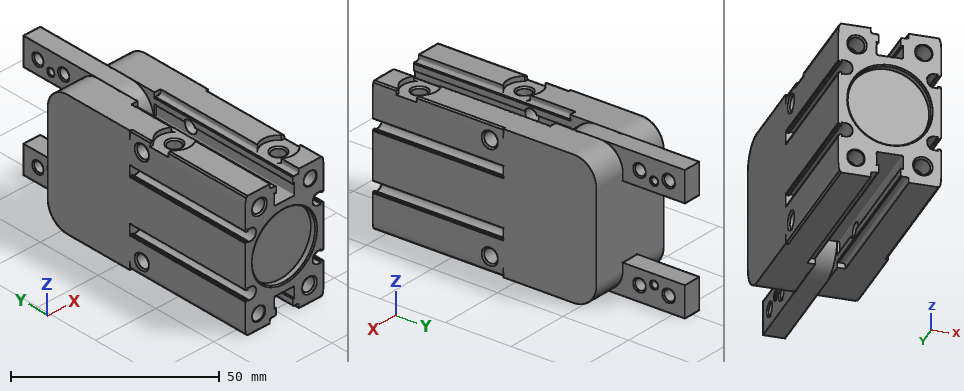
import cadquery as cq
import math


width = 26.0
height = 40.0
overall_length = 87.4
housing_length = 68.4
nose_radius = 6.9

half_width = width / 2
half_height = height / 2

finger_width = 5.6
finger_height = 9.0
finger_rear_y = 48.2
finger_rear_gap = 0.3
finger_rear_radius = 7.9
finger_hole_diameter = 3.2
finger_hole_chamfer = 0.35
finger_hole_offset_z = 15.5
finger_hole_ys = (73.5, 82.4)
finger_pin_diameter = 2.0
finger_pin_chamfer = 0.3
finger_pin_y = sum(finger_hole_ys) / 2
finger_pin_offset_z = 14.0

groove_half_width = 4.8
groove_depth = 1.4
groove_fillet = 0.6
lip_half_width = 2.8
lip_chamfer = 0.3
lip_bottom_depth = 3.5
slot_half_width = 3.3
slot_depth = 7.0
slot_fillet = 0.35
slot_end_y = finger_rear_y - finger_rear_gap

profile_length = 39.9
relief_top_inset = 0.7
relief_chamfer_inset = 0.3
relief_chamfer_drop = 0.4
relief_height = 2.45
side_groove_offset_z = 8.4
side_groove_opening = 2.9
side_groove_chamfer = 0.3
side_groove_lip = 0.9
side_groove_diameter = 3.7
side_groove_depth = 3.6

recess_diameter = 21.0
recess_depth = 1.8
recess_chamfer = 0.35

hole_chamfer = 0.4
drill_tip_angle = 118.0
cross_hole_diameter = 4.1
cross_hole_y = 35.8
cross_hole_offset_z = 15.7
end_hole_depth = 6.1
end_hole_diameter = 4.1
wide_rim_hole_x = 8.3
wide_rim_hole_z = 15.0
slim_rim_hole_chamfer = 0.2
slim_rim_hole_x = 8.6
slim_rim_hole_z = 15.5

port_places = ((-7.8, 30.0), (7.8, 10.2))
port_hole_diameter = 4.0
port_hole_depth = 5.25
port_spotface_diameter = 10.1
port_channel_width = 6.2


def box(x0, x1, y0, y1, z0, z1):
    """Box between two opposite corners."""
    return cq.Workplane("XY").box(x1 - x0, y1 - y0, z1 - z0, centered=False).translate((x0, y0, z0))


def flip_z(shape):
    """The same shape on the opposite side of the middle plane Z = 0."""
    return shape.mirror("XY")


def flip_x(shape):
    """The same shape on the opposite side of the middle plane X = 0."""
    return shape.mirror("YZ")


def extrude_along_y(section, length):
    """Extrude an XZ section from the closed end towards +Y."""
    return section.extrude(-length)


def countersink(mouth, direction, diameter, chamfer):
    """Cone that breaks the edge of a hole mouth."""
    radius = diameter / 2
    return cq.Solid.makeCone(radius + chamfer, radius, chamfer, mouth, direction)


def blind_hole(mouth, direction, diameter, depth, chamfer=0.0):
    """Drilled hole with a pointed bottom and, where asked for, a countersunk mouth."""
    radius = diameter / 2
    tip_length = radius / math.tan(math.radians(drill_tip_angle / 2))
    bottom = mouth + direction * depth
    hole = cq.Workplane(cq.Solid.makeCylinder(radius, depth, mouth, direction))
    hole = hole.union(cq.Workplane(cq.Solid.makeCone(radius, 0, tip_length, bottom, direction)))
    if chamfer > 0:
        hole = hole.union(cq.Workplane(countersink(mouth, direction, diameter, chamfer)))
    return hole


def cross_hole(y, z, diameter, length, chamfer):
    """Hole along X through a part of the given width, countersunk at both ends."""
    start = cq.Vector(-length / 2, y, z)
    end = cq.Vector(length / 2, y, z)
    along_x = cq.Vector(1, 0, 0)
    hole = cq.Workplane(cq.Solid.makeCylinder(diameter / 2, length, start, along_x))
    hole = hole.union(cq.Workplane(countersink(start, along_x, diameter, chamfer)))
    return hole.union(cq.Workplane(countersink(end, along_x * -1, diameter, chamfer)))


def housing_block():
    """Plain block with the two +Y edges rounded."""
    block = box(-half_width, half_width, 0, housing_length, -half_height, half_height)
    return block.faces(">Y").edges("|X").fillet(nose_radius)


def finger_pocket():
    """Slot in the top face that takes a finger, with a small gap behind it."""
    floor_z = half_height - finger_height
    half_finger = finger_width / 2
    return box(-half_finger, half_finger, slot_end_y, housing_length, floor_z, half_height)


def t_slot():
    """Long slot in the top face: a shallow groove, a chamfered neck and a wider bottom."""
    groove_z = half_height - groove_depth
    lip_bottom_z = half_height - lip_bottom_depth
    slot_floor_z = half_height - slot_depth
    groove = box(-groove_half_width, groove_half_width, 0, slot_end_y, groove_z, half_height)
    groove = groove.faces("<Z").edges("|Y").fillet(groove_fillet)
    mouth_half_width = lip_half_width + lip_chamfer
    neck_section = (
        cq.Workplane("XZ")
        .moveTo(-mouth_half_width, groove_z)
        .lineTo(-lip_half_width, groove_z - lip_chamfer)
        .lineTo(-lip_half_width, lip_bottom_z)
        .lineTo(lip_half_width, lip_bottom_z)
        .lineTo(lip_half_width, groove_z - lip_chamfer)
        .lineTo(mouth_half_width, groove_z)
        .close()
    )
    neck = extrude_along_y(neck_section, slot_end_y)
    bottom = box(-slot_half_width, slot_half_width, 0, slot_end_y, slot_floor_z, lip_bottom_z)
    bottom = bottom.faces("<Z").edges("|Y").fillet(slot_fillet)
    return groove.union(neck).union(bottom)


def corner_relief():
    """Material taken off the top +X corner: a small chamfer, then an arc tangent to the side face."""
    chamfer_x = half_width - relief_chamfer_inset
    chamfer_z = half_height - relief_chamfer_drop
    bottom_z = half_height - relief_height
    arc_rise = chamfer_z - bottom_z
    arc_radius = (arc_rise**2 + relief_chamfer_inset**2) / (2 * relief_chamfer_inset)
    section = (
        cq.Workplane("XZ")
        .moveTo(half_width, bottom_z)
        .radiusArc((chamfer_x, chamfer_z), -arc_radius)
        .lineTo(half_width - relief_top_inset, half_height)
        .lineTo(half_width, half_height)
        .close()
    )
    return extrude_along_y(section, profile_length)


def side_groove():
    """Keyhole groove in the +X side: a chamfered opening and a wider, round-bottomed channel."""
    radius = side_groove_diameter / 2
    inner_x = half_width - side_groove_lip
    bottom_x = half_width - side_groove_depth
    round_x = bottom_x + radius
    top_z = side_groove_offset_z + radius
    low_z = side_groove_offset_z - radius
    half_opening = side_groove_opening / 2
    channel_section = (
        cq.Workplane("XZ")
        .moveTo(inner_x, top_z)
        .lineTo(round_x, top_z)
        .threePointArc((bottom_x, side_groove_offset_z), (round_x, low_z))
        .lineTo(inner_x, low_z)
        .close()
    )
    channel = extrude_along_y(channel_section, profile_length)
    chamfer_x = half_width - side_groove_chamfer
    half_mouth = half_opening + side_groove_chamfer
    opening_section = (
        cq.Workplane("XZ")
        .moveTo(inner_x, side_groove_offset_z + half_opening)
        .lineTo(chamfer_x, side_groove_offset_z + half_opening)
        .lineTo(half_width, side_groove_offset_z + half_mouth)
        .lineTo(half_width, side_groove_offset_z - half_mouth)
        .lineTo(chamfer_x, side_groove_offset_z - half_opening)
        .lineTo(inner_x, side_groove_offset_z - half_opening)
        .close()
    )
    opening = extrude_along_y(opening_section, profile_length)
    return channel.union(opening)


def end_recess():
    """Shallow round recess in the closed end with a chamfered rim."""
    origin = cq.Vector(0, 0, 0)
    along_y = cq.Vector(0, 1, 0)
    recess = cq.Workplane(cq.Solid.makeCylinder(recess_diameter / 2, recess_depth, origin, along_y))
    return recess.union(cq.Workplane(countersink(origin, along_y, recess_diameter, recess_chamfer)))


def end_holes():
    """Blind holes in the closed end: two with a wide rim chamfer on one diagonal, two slim on the other."""
    along_y = cq.Vector(0, 1, 0)
    holes = []
    for side in (-1, 1):
        wide_rim_mouth = cq.Vector(side * wide_rim_hole_x, 0, -side * wide_rim_hole_z)
        slim_rim_mouth = cq.Vector(side * slim_rim_hole_x, 0, side * slim_rim_hole_z)
        holes.append(
            blind_hole(wide_rim_mouth, along_y, end_hole_diameter, end_hole_depth, hole_chamfer)
        )
        holes.append(
            blind_hole(slim_rim_mouth, along_y, end_hole_diameter, end_hole_depth, slim_rim_hole_chamfer)
        )
    return holes


def port(x, y):
    """Air port in the top face: a spotface open to the nearer side face, and a blind hole."""
    floor_z = half_height - groove_depth
    mouth = cq.Vector(x, y, floor_z)
    spotface = cq.Workplane(cq.Solid.makeCylinder(port_spotface_diameter / 2, groove_depth, mouth))
    half_channel = port_channel_width / 2
    side_x = math.copysign(half_width, x)
    channel = box(min(x, side_x), max(x, side_x), y - half_channel, y + half_channel, floor_z, half_height)
    hole = blind_hole(mouth, cq.Vector(0, 0, -1), port_hole_diameter, port_hole_depth, hole_chamfer)
    return spotface.union(channel).union(hole)


def make_housing():
    """Housing with its slots, grooves, recess, ports and holes."""
    body = housing_block().cut(end_recess())
    for cut in (finger_pocket(), t_slot()):
        body = body.cut(cut).cut(flip_z(cut))
    for cut in (corner_relief(), side_groove()):
        for sided_cut in (cut, flip_x(cut)):
            body = body.cut(sided_cut).cut(flip_z(sided_cut))
    for hole in end_holes():
        body = body.cut(hole)
    for x, y in port_places:
        body = body.cut(port(x, y))
    for z in (-cross_hole_offset_z, cross_hole_offset_z):
        body = body.cut(cross_hole(cross_hole_y, z, cross_hole_diameter, width, hole_chamfer))
    return body


def make_finger():
    """Top finger: a flat bar with a rounded outer rear edge, two mounting holes and a pin hole."""
    half_finger = finger_width / 2
    inner_z = half_height - finger_height
    finger = box(-half_finger, half_finger, finger_rear_y, overall_length, inner_z, half_height)
    finger = finger.faces("<Y").edges(">Z").fillet(finger_rear_radius)
    for y in finger_hole_ys:
        finger = finger.cut(
            cross_hole(y, finger_hole_offset_z, finger_hole_diameter, finger_width, finger_hole_chamfer)
        )
    return finger.cut(
        cross_hole(finger_pin_y, finger_pin_offset_z, finger_pin_diameter, finger_width, finger_pin_chamfer)
    )


housing = make_housing()
top_finger = make_finger()
fingers = [top_finger, flip_z(top_finger)]

result = cq.Compound.makeCompound([housing.val(), *[finger.val() for finger in fingers]])